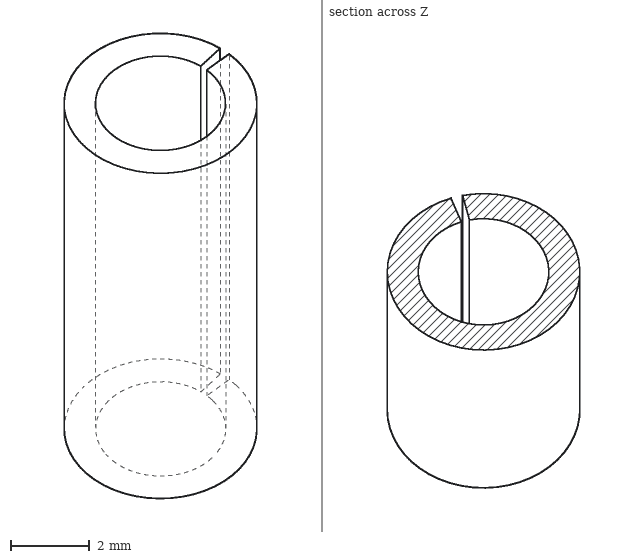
import cadquery as cq
import math

length = 12.0
outer_diameter = 4.9
bore_diameter = 3.3
slit_angle = 7.0

tube = (
    cq.Workplane("XY")
    .circle(outer_diameter / 2)
    .circle(bore_diameter / 2)
    .extrude(length)
)

wedge_reach = outer_diameter
wedge_half_width = wedge_reach * math.tan(math.radians(slit_angle / 2))
slit = (
    cq.Workplane("XY")
    .polyline([(0, 0), (wedge_half_width, wedge_reach), (-wedge_half_width, wedge_reach)])
    .close()
    .extrude(length)
)

result = tube.cut(slit)